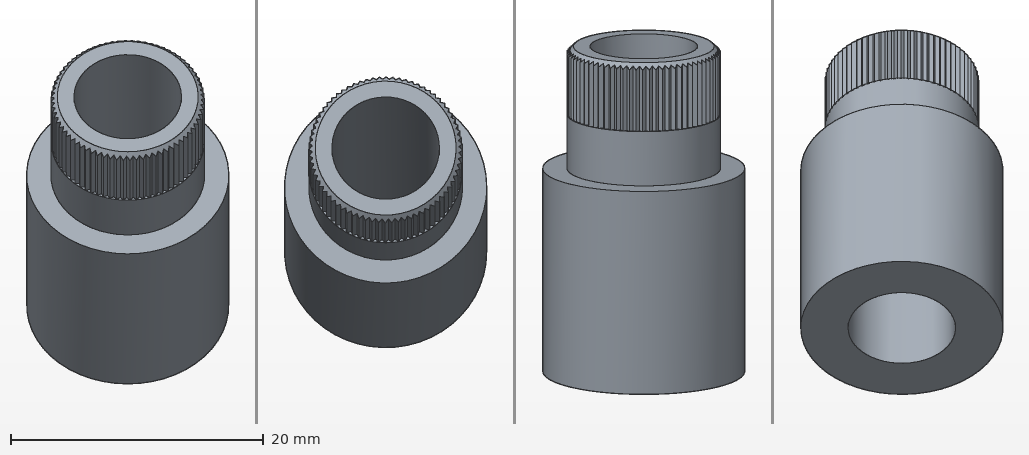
import cadquery as cq
import math

total_height = 26.4
body_height = 16.5
knurl_length = 5.5

body_diameter = 16.0
neck_diameter = 12.17
rim_diameter = 11.15
bore_diameter = 8.5

chamfer_height = 0.5

groove_count = 72
groove_depth = 0.26

neck_radius = neck_diameter / 2
knurl_bottom = total_height - knurl_length


def turned_sleeve():
    """Stepped sleeve with a through bore, revolved about Z."""
    bore_radius = bore_diameter / 2
    body_radius = body_diameter / 2
    profile = [
        (bore_radius, 0),
        (body_radius, 0),
        (body_radius, body_height),
        (neck_radius, body_height),
        (neck_radius, total_height - chamfer_height),
        (rim_diameter / 2, total_height),
        (bore_radius, total_height),
    ]
    return cq.Workplane("XZ").polyline(profile).close().revolve(360, (0, 0), (0, 1))


def knurl_band():
    """Star-shaped prism whose crests touch the neck surface and whose roots form the V grooves."""
    root_radius = neck_radius - groove_depth
    half_pitch = math.pi / groove_count
    points = []
    for step in range(2 * groove_count):
        radius = root_radius if step % 2 == 0 else neck_radius
        angle = step * half_pitch
        points.append((radius * math.cos(angle), radius * math.sin(angle)))
    return cq.Workplane("XY").workplane(offset=knurl_bottom).polyline(points).close().extrude(knurl_length)


def knurl_cutter():
    """Ring around the knurled band, with the toothed outline as its inner wall."""
    ring = cq.Workplane("XY").workplane(offset=knurl_bottom).circle(body_diameter / 2).extrude(knurl_length)
    return ring.cut(knurl_band())


result = turned_sleeve().cut(knurl_cutter())